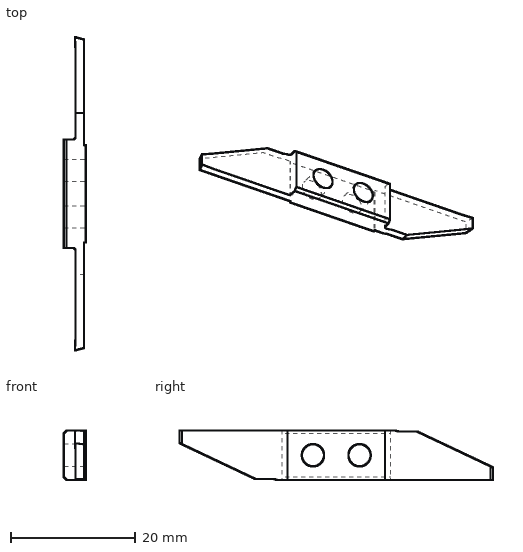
import cadquery as cq

length = 50.5
height = 8.0

boss_depth = 1.9
blade_thickness = 1.4
pad_depth = 0.3
total_depth = boss_depth + blade_thickness + pad_depth

boss_length = 17.5
boss_chamfer = 0.5
root_fillet = 0.4
pad_length = 15.7

relief_depth = 0.15
relief_ramp_start = 9.5
relief_ramp_end = 10.0
taper_start = 13.0
tip_height = 2.05
tip_setback = 0.4

tip_flare_length = 2.0
tip_flare_depth = 0.1

hole_diameter = 3.55
hole_spacing = 7.5

boss_face = -total_depth / 2
blade_front = boss_face + boss_depth
blade_back = blade_front + blade_thickness

half_length = length / 2
half_height = height / 2


def make_block(x_start, depth, block_length):
    """Full-height block centred on Y and Z, growing toward +X from x_start."""
    return cq.Workplane("YZ", origin=(x_start, 0, 0)).rect(block_length, height).extrude(depth)


def make_blade():
    """Flat blade whose two tapered arms are half-turn copies about the X axis."""
    relief_level = half_height - relief_depth
    arm = [
        (half_length, -half_height),
        (half_length, -half_height + tip_height),
        (taper_start, relief_level),
        (relief_ramp_end, relief_level),
        (relief_ramp_start, half_height),
    ]
    opposite_arm = [(-y, -z) for y, z in arm]
    outline = arm + opposite_arm
    side_prism = cq.Workplane("YZ", origin=(boss_face, 0, 0)).polyline(outline).close().extrude(total_depth)

    tip_front = blade_front - tip_flare_depth
    flare_start = half_length - tip_flare_length
    back_end = half_length - tip_setback
    plan = [
        (tip_front, -half_length),
        (blade_front, -flare_start),
        (blade_front, flare_start),
        (tip_front, half_length),
        (blade_back, back_end),
        (blade_back, -back_end),
    ]
    plan_prism = cq.Workplane("XY").polyline(plan).close().extrude(half_height, both=True)
    return side_prism.intersect(plan_prism)


def make_boss():
    """Raised block on the -X face with its long outer edges chamfered."""
    boss = make_block(boss_face, boss_depth, boss_length)
    return boss.faces("<X").edges("|Y").chamfer(boss_chamfer)


def make_root_fillet(side):
    """Concave fillet between one end of the boss and the blade; side is +1 or -1."""
    boss_end = side * boss_length / 2
    fillet_end = boss_end + side * root_fillet
    arc_drop = root_fillet * (1 - 0.5 ** 0.5)
    return (
        cq.Workplane("XY", origin=(0, 0, -half_height))
        .moveTo(blade_front, boss_end)
        .lineTo(blade_front - root_fillet, boss_end)
        .threePointArc((blade_front - arc_drop, boss_end + side * arc_drop), (blade_front, fillet_end))
        .close()
        .extrude(height)
    )


def make_holes():
    """Pair of round through-holes along X."""
    return (
        cq.Workplane("YZ", origin=(boss_face, 0, 0))
        .pushPoints([(-hole_spacing / 2, 0), (hole_spacing / 2, 0)])
        .circle(hole_diameter / 2)
        .extrude(total_depth)
    )


body = make_blade().union(make_boss()).union(make_block(blade_back, pad_depth, pad_length))
for side in (-1, 1):
    body = body.union(make_root_fillet(side))

result = body.cut(make_holes())